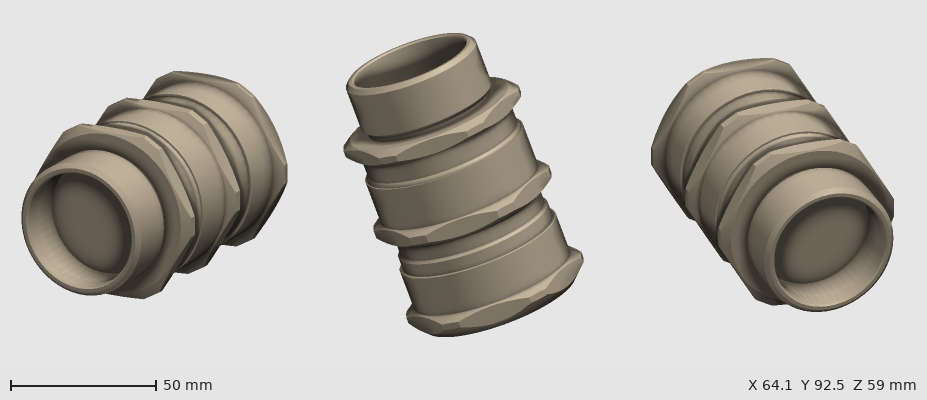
import cadquery as cq
import math

TOTAL_LENGTH = 92.5

FLAT_WIDTH = 59.0
CORNER_WIDTH = 64.1
ENVELOPE_DIAMETER = 64.95
HEX_CHAMFER_ANGLE = 30.0
END_CHAMFER_ANGLE = 45.0

THREAD_DIAMETER = 47.8
RELIEF_DIAMETER = 44.8
COLLAR_DIAMETER = 55.0
NECK_DIAMETER = 53.0
SLEEVE_DIAMETER = 57.9
CAP_DIAMETER = 57.4

THREAD_END = 17.0
LOWER_HEX_START = 20.1
LOWER_HEX_END = 26.1
SLEEVE_START = 35.2
MIDDLE_HEX_START = 50.6
MIDDLE_HEX_END = 58.6
UPPER_COLLAR_START = 64.6
CAP_START = 69.3
UPPER_HEX_START = 83.6

THREAD_CHAMFER = (THREAD_DIAMETER - RELIEF_DIAMETER) / 2
COLLAR_CHAMFER = (COLLAR_DIAMETER - NECK_DIAMETER) / 2
SEAL_LENGTH = 1.7
SEAL_DIAMETER = 56.6
CAP_CHAMFER = 0.2

BORE_DIAMETER = 41.2
BORE_DEPTH = 17.0
BORE_CHAMFER = 0.6


def revolve_about_axis(profile):
    """Turn a closed profile, drawn as (radius, Y), about the Y axis."""
    return profile.close().revolve(360, (0, 0, 0), (0, 1, 0))


def turned_body():
    thread = THREAD_DIAMETER / 2
    relief = RELIEF_DIAMETER / 2
    collar = COLLAR_DIAMETER / 2
    neck = NECK_DIAMETER / 2
    sleeve = SLEEVE_DIAMETER / 2
    cap = CAP_DIAMETER / 2
    seal = SEAL_DIAMETER / 2
    seal_rise = seal - collar
    seal_radius = (seal_rise**2 + SEAL_LENGTH**2) / (2 * seal_rise)
    profile = (
        cq.Workplane("XY")
        .moveTo(0, 0)
        .lineTo(relief, 0)
        .lineTo(thread, THREAD_CHAMFER)
        .lineTo(thread, THREAD_END)
        .lineTo(relief, THREAD_END + THREAD_CHAMFER)
        .lineTo(relief, LOWER_HEX_START)
        .lineTo(collar, LOWER_HEX_START)
        .lineTo(collar, SLEEVE_START - SEAL_LENGTH)
        .radiusArc((seal, SLEEVE_START), -seal_radius)
        .lineTo(sleeve, SLEEVE_START)
        .lineTo(sleeve, MIDDLE_HEX_START)
        .lineTo(neck, MIDDLE_HEX_START)
        .lineTo(neck, UPPER_COLLAR_START - COLLAR_CHAMFER)
        .lineTo(collar, UPPER_COLLAR_START)
        .lineTo(collar, CAP_START)
        .lineTo(cap - CAP_CHAMFER, CAP_START)
        .lineTo(cap, CAP_START + CAP_CHAMFER)
        .lineTo(cap, UPPER_HEX_START)
        .lineTo(collar, UPPER_HEX_START)
        .lineTo(collar, TOTAL_LENGTH)
        .lineTo(0, TOTAL_LENGTH)
    )
    return revolve_about_axis(profile)


def hex_prism(start, end, width):
    """Hexagonal prism along Y, given its width across flats."""
    across_corners = width / math.cos(math.radians(30))
    return (
        cq.Workplane("XZ", origin=(0, start, 0))
        .polygon(6, across_corners)
        .extrude(start - end)
    )


def hex_ring(start, end, start_diameter, end_diameter, end_angle=HEX_CHAMFER_ANGLE):
    """Hexagon ring with flattened corners, chamfered by a cone at each face."""
    rim = ENVELOPE_DIAMETER / 2
    start_chamfer = (rim - start_diameter / 2) * math.tan(math.radians(HEX_CHAMFER_ANGLE))
    end_chamfer = (rim - end_diameter / 2) * math.tan(math.radians(end_angle))
    envelope = revolve_about_axis(
        cq.Workplane("XY")
        .moveTo(0, start)
        .lineTo(start_diameter / 2, start)
        .lineTo(rim, start + start_chamfer)
        .lineTo(rim, end - end_chamfer)
        .lineTo(end_diameter / 2, end)
        .lineTo(0, end)
    )
    flats = hex_prism(start, end, FLAT_WIDTH)
    corner_flats = hex_prism(start, end, CORNER_WIDTH).rotate((0, 0, 0), (0, 1, 0), 30)
    return flats.intersect(corner_flats).intersect(envelope)


def bore():
    radius = BORE_DIAMETER / 2
    return revolve_about_axis(
        cq.Workplane("XY")
        .moveTo(0, 0)
        .lineTo(radius + BORE_CHAMFER, 0)
        .lineTo(radius, BORE_CHAMFER)
        .lineTo(radius, BORE_DEPTH)
        .lineTo(0, BORE_DEPTH)
    )


lower_hex = hex_ring(LOWER_HEX_START, LOWER_HEX_END, SLEEVE_DIAMETER, SLEEVE_DIAMETER)
middle_hex = hex_ring(MIDDLE_HEX_START, MIDDLE_HEX_END, SLEEVE_DIAMETER, NECK_DIAMETER)
upper_hex = hex_ring(UPPER_HEX_START, TOTAL_LENGTH, CAP_DIAMETER, COLLAR_DIAMETER, END_CHAMFER_ANGLE)

result = turned_body().union(lower_hex).union(middle_hex).union(upper_hex).cut(bore())